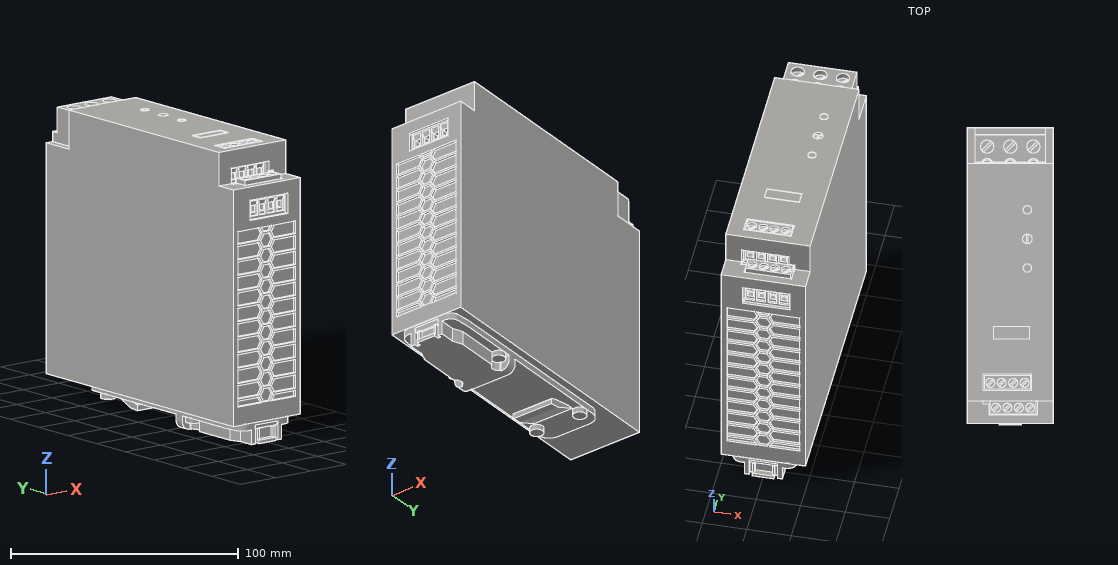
import cadquery as cq
import math

CASE_WIDTH = 38.0
CASE_DEPTH = 130.1
CASE_BOTTOM = 9.8
CASE_TOP = 131.8
FRONT_LEDGE_Z = 116.6
FRONT_STEP_Y = 10.0
REAR_LEDGE_Z = 114.1
REAR_STEP_Y = 114.4

BLOCK_HALF_WIDTH = 15.4
BLOCK_BASE_TOP = 118.8
BLOCK_TOP = 130.4
BLOCK_REAR_Y = 127.0
BLOCK_GAP = 0.4
BLOCK_BEVEL_DEPTH = 0.3
BLOCK_BEVEL_HEIGHT = 1.8
BLOCK_PITCH = 10.1
BLOCK_SCREW_Y = 121.8
BLOCK_SCREW_RADIUS = 2.9
BLOCK_SCREW_DEPTH = 2.8
BLOCK_SCREW_SLOT = 1.0
NOTCH_RADIUS = 2.6
NOTCH_RIM_WIDTH = 0.5
NOTCH_RIM_DEPTH = 1.3
NOTCH_CENTRE_Y = 113.9
NOTCH_DEPTH = 2.6

INDICATOR_X = 7.5
INDICATOR_RADIUS = 1.8
INDICATOR_SPACING = 12.8
TRIMMER_Y = 81.2
TRIMMER_RADIUS = 2.1
TRIMMER_DEPTH = 1.0
LABEL_CENTRE = (0.5, 40.0)
LABEL_SIZE = (15.7, 5.5)
SHALLOW_DEPTH = 0.3

CONNECTOR_SHIFTS = [(1.25, 0.0, 0.0), (-1.25, 11.0, 13.0)]
PLUG_HALF_WIDTH = 10.1
PLUG_GAP = 0.5
PLUG_POLES = 4
PLUG_PITCH = 5.0
HEAD_FRONT_Y = 4.2
HEAD_BACK_Y = 10.3
HEAD_TOP = 118.6
HEAD_RECESS_DEPTH = 4.0
FACE_Y = 1.3
FACE_RECESS_START_Y = -2.4
FACE_RECESS_BACK_Y = 3.4
FACE_BOTTOM = 101.5
FACE_TOP = 110.6
PLUG_SCREW_Y = 7.0
PLUG_SCREW_RADIUS = 2.0
PLUG_SCREW_DEPTH = 1.3
PLUG_SCREW_SLOT = 0.8
ENTRY_HALF_WIDTH = 2.0
ENTRY_BOTTOM = 102.8
ENTRY_TOP = 109.7
ENTRY_DEPTH = 1.0
CLAMP_HALF_WIDTH = 1.3
CLAMP_BOTTOM = 104.1
CLAMP_TOP = 107.3
CLAMP_DEPTH = 2.6
SLOT_DEPTH = 0.7

GRILLE_HALF_WIDTH = 16.3
GRILLE_BOTTOM = 18.2
GRILLE_TOP = 97.4
GRILLE_DEPTH = 1.3
RIB_COUNT = 11
RIB_PITCH = 7.0
RIB_THICKNESS = 1.01
FIRST_RIB_Z = 21.4

PLATE_HALF_WIDTH = 15.0
PLATE_REAR_Y = 107.2
PLATE_BOTTOM = 6.6
PLATE_REAR_RADIUS = 6.2
PLATE_FRONT_RADIUS = 4.6
PLATE_NARROWING = 0.5
PLATE_NARROWING_START_Y = 10.1
PLATE_NARROWING_END_Y = 5.0
FOOT_FRONT_Y = 0.1
PEG_RADIUS = 3.2
PEG_X = PLATE_HALF_WIDTH - PEG_RADIUS
PEG_BOTTOM = 4.1
PEG_YS = (36.9, 96.0)
SLIDER_HALF_WIDTH = 10.5
NOSE_HALF_WIDTH = 8.6
NOSE_TAPER_FRONT_Y = 7.8
NOSE_TAPER_BACK_Y = 12.7
HOOK_FRONT_Y = 40.3
HOOK_REAR_Y = 44.8
HOOK_RADIUS = 4.1
TOOTH_TIP = (47.6, 5.1)
TOOTH_SHOULDER = (46.7, 5.7)
TOOTH_BOTTOM = 1.5
SPRING_HALF_WIDTH = 10.5
SPRING_REAR_Y = 92.4
SPRING_BEND = (82.0, 2.0)
SPRING_TIP_Y = 77.1
SPRING_TIP_BOTTOM = 1.5
SPRING_TIP_TOP = 4.1
SPRING_TIP_SHOULDER = (79.5, 5.0)
WEB_REAR_Y = 89.1
WEB_FRONT_Y = 80.7
WEB_BOTTOM = 4.0
WEB_HALF_WIDTH = 7.9
LATCH_HALF_WIDTH = 6.3
LATCH_TOP = 8.6
LATCH_DEPTH = 2.0
LATCH_ROOF_DEPTH = 1.0
TONGUE_HALF_WIDTH = 4.9
TONGUE_POST_WIDTH = 0.9
TONGUE_BAR_HEIGHT = 1.6
TONGUE_OVERHANG = 0.5
TONGUE_POST_Y = 0.4


def box(x0, x1, y0, y1, z0, z1):
    """Box between two opposite corners."""
    return cq.Workplane("XY").box(x1 - x0, y1 - y0, z1 - z0, centered=False).translate((x0, y0, z0))


def side_profile(points, half_width, centre_x=0.0):
    """Outline of (Y, Z) points extruded along X, symmetric about centre_x."""
    outline = cq.Workplane("YZ").polyline(points).close()
    return outline.extrude(half_width, both=True).translate((centre_x, 0, 0))


def prism(right_side, z0, z1):
    """Upright prism from the right half of an (X, Y) outline, mirrored about X = 0."""
    left_side = [(-x, y) for x, y in reversed(right_side)]
    outline = cq.Workplane("XY", origin=(0, 0, z0)).polyline(right_side + left_side).close()
    return outline.extrude(z1 - z0)


def post(x, y, radius, z0, z1):
    """Vertical cylinder."""
    return cq.Workplane("XY", origin=(x, y, z0)).circle(radius).extrude(z1 - z0)


def screw_hole(x, y, top, radius, depth, slot_width, slot_angle):
    """Round hole with a slotted screw head at its bottom."""
    floor = top - depth
    slot = box(-radius, radius, -slot_width / 2, slot_width / 2, floor - SLOT_DEPTH, floor)
    slot = slot.rotate((0, 0, 0), (0, 0, 1), slot_angle).translate((x, y, 0))
    hole = post(x, y, radius, floor, top)
    return hole.union(slot.intersect(post(x, y, radius, floor - SLOT_DEPTH, floor)))


def make_case():
    """Closed housing with a ledge at the front and a lower ledge at the rear."""
    outline = [
        (0, CASE_BOTTOM), (CASE_DEPTH, CASE_BOTTOM), (CASE_DEPTH, REAR_LEDGE_Z),
        (REAR_STEP_Y, REAR_LEDGE_Z), (REAR_STEP_Y, CASE_TOP), (FRONT_STEP_Y, CASE_TOP),
        (FRONT_STEP_Y, FRONT_LEDGE_Z), (0, FRONT_LEDGE_Z),
    ]
    return side_profile(outline, CASE_WIDTH / 2)


def make_terminal_block():
    """Three-pole block on the rear ledge with screw holes and round front notches."""
    bevel_z = BLOCK_TOP - BLOCK_BEVEL_HEIGHT
    front_y = REAR_STEP_Y + BLOCK_GAP
    outline = [
        (REAR_STEP_Y, REAR_LEDGE_Z), (CASE_DEPTH, REAR_LEDGE_Z), (CASE_DEPTH, BLOCK_BASE_TOP),
        (BLOCK_REAR_Y, BLOCK_BASE_TOP), (BLOCK_REAR_Y, bevel_z),
        (BLOCK_REAR_Y - BLOCK_BEVEL_DEPTH, BLOCK_TOP),
        (front_y + BLOCK_BEVEL_DEPTH, BLOCK_TOP), (front_y, bevel_z),
        (front_y, bevel_z - BLOCK_BEVEL_HEIGHT), (REAR_STEP_Y, bevel_z - BLOCK_BEVEL_HEIGHT),
    ]
    block = side_profile(outline, BLOCK_HALF_WIDTH)
    for index in (-1, 0, 1):
        x = index * BLOCK_PITCH
        block = block.cut(screw_hole(x, BLOCK_SCREW_Y, BLOCK_TOP, BLOCK_SCREW_RADIUS,
                                     BLOCK_SCREW_DEPTH, BLOCK_SCREW_SLOT, 45))
        block = block.cut(post(x, NOTCH_CENTRE_Y, NOTCH_RADIUS,
                               BLOCK_TOP - NOTCH_RIM_DEPTH, BLOCK_TOP))
        block = block.cut(post(x, NOTCH_CENTRE_Y, NOTCH_RADIUS - NOTCH_RIM_WIDTH,
                               BLOCK_TOP - NOTCH_DEPTH, BLOCK_TOP))
    return block


def cut_top_details(body):
    """Two indicators, a slotted trimmer between them and a shallow label field."""
    for y in (TRIMMER_Y - INDICATOR_SPACING, TRIMMER_Y + INDICATOR_SPACING):
        body = body.cut(post(INDICATOR_X, y, INDICATOR_RADIUS, CASE_TOP - SHALLOW_DEPTH, CASE_TOP))
    body = body.cut(screw_hole(INDICATOR_X, TRIMMER_Y, CASE_TOP, TRIMMER_RADIUS,
                               TRIMMER_DEPTH, PLUG_SCREW_SLOT, 90))
    label = cq.Workplane("XY", origin=(*LABEL_CENTRE, CASE_TOP - SHALLOW_DEPTH))
    return body.cut(label.rect(*LABEL_SIZE).extrude(SHALLOW_DEPTH))


def connector_recess():
    """Clearance around the screw head block and around the wire face."""
    half = PLUG_HALF_WIDTH + PLUG_GAP
    head = box(-half, half, HEAD_FRONT_Y - PLUG_GAP, HEAD_BACK_Y + PLUG_GAP,
               HEAD_TOP - HEAD_RECESS_DEPTH, HEAD_TOP + PLUG_GAP)
    face = box(-half, half, FACE_RECESS_START_Y, FACE_RECESS_BACK_Y,
               FACE_BOTTOM, FACE_TOP)
    return head.union(face)


def wire_entry(x):
    """Funnel with a sloping roof that leads to a square clamp hole."""
    back = FACE_Y + ENTRY_DEPTH
    funnel = side_profile([(FACE_Y, ENTRY_BOTTOM), (back, ENTRY_BOTTOM), (back, CLAMP_TOP),
                           (FACE_Y, ENTRY_TOP)], ENTRY_HALF_WIDTH, x)
    clamp = box(x - CLAMP_HALF_WIDTH, x + CLAMP_HALF_WIDTH, back, back + CLAMP_DEPTH,
                CLAMP_BOTTOM, CLAMP_TOP)
    return funnel.union(clamp)


def connector_plug():
    """Screw head block and wire face that stand in the recess."""
    half = PLUG_HALF_WIDTH
    head = box(-half, half, HEAD_FRONT_Y, HEAD_BACK_Y, HEAD_TOP - HEAD_RECESS_DEPTH, HEAD_TOP)
    face = box(-half, half, FACE_Y, FACE_RECESS_BACK_Y, FACE_BOTTOM, FACE_TOP)
    return head.union(face)


def connector_openings():
    """One wire entry and one screw hole for each pole."""
    openings = cq.Workplane("XY")
    for pole in range(PLUG_POLES):
        x = (pole - (PLUG_POLES - 1) / 2) * PLUG_PITCH
        openings = openings.add(wire_entry(x))
        openings = openings.add(screw_hole(x, PLUG_SCREW_Y, HEAD_TOP, PLUG_SCREW_RADIUS,
                                           PLUG_SCREW_DEPTH, PLUG_SCREW_SLOT, 45))
    return openings.combine()


def fit_connectors(body):
    """Cut all recesses first, then add the plugs and open them."""
    for shift in CONNECTOR_SHIFTS:
        body = body.cut(connector_recess().translate(shift))
    for shift in CONNECTOR_SHIFTS:
        body = body.union(connector_plug().translate(shift))
    for shift in CONNECTOR_SHIFTS:
        body = body.cut(connector_openings().translate(shift))
    return body


def hexagon(across_flats, z):
    """Hexagonal prism along Y with corners pointing to +X and -X."""
    diameter = across_flats / math.cos(math.pi / 6)
    plane = cq.Workplane("XZ", origin=(0, GRILLE_DEPTH, z))
    return plane.polygon(6, diameter).extrude(GRILLE_DEPTH)


def grille_openings():
    """Slots between ribs, and a central column of hexagons set apart by thin walls."""
    window = box(-GRILLE_HALF_WIDTH, GRILLE_HALF_WIDTH, 0, GRILLE_DEPTH, GRILLE_BOTTOM, GRILLE_TOP)
    slots = window
    cells = cq.Workplane("XY")
    for index in range(RIB_COUNT + 1):
        z = FIRST_RIB_Z + index * RIB_PITCH
        rib_bottom = z - RIB_THICKNESS / 2
        slots = slots.cut(box(-GRILLE_HALF_WIDTH, GRILLE_HALF_WIDTH, 0, GRILLE_DEPTH,
                              rib_bottom, rib_bottom + RIB_THICKNESS))
        slots = slots.cut(hexagon(RIB_PITCH + RIB_THICKNESS, z))
        cells = cells.add(hexagon(RIB_PITCH - RIB_THICKNESS, z))
    return slots.union(cells.combine().intersect(window))


def make_plate():
    """Foot plate, narrowed slightly toward its rounded front, with round pegs below."""
    front_half_width = PLATE_HALF_WIDTH - PLATE_NARROWING
    right_side = [
        (front_half_width, FOOT_FRONT_Y), (front_half_width, PLATE_NARROWING_END_Y),
        (PLATE_HALF_WIDTH, PLATE_NARROWING_START_Y), (PLATE_HALF_WIDTH, PLATE_REAR_Y),
    ]
    plate = prism(right_side, PLATE_BOTTOM, CASE_BOTTOM)
    plate = plate.edges("|Z and >Y").fillet(PLATE_REAR_RADIUS)
    plate = plate.edges("|Z and <Y").fillet(PLATE_FRONT_RADIUS)
    for y in PEG_YS:
        for x in (-PEG_X, PEG_X):
            plate = plate.union(post(x, y, PEG_RADIUS, PEG_BOTTOM, PLATE_BOTTOM))
    return plate


def make_slider():
    """Sliding latch: tapered nose, round hollows under the pegs, and a wide hook at the rear."""
    slider = prism([
        (NOSE_HALF_WIDTH, FOOT_FRONT_Y), (NOSE_HALF_WIDTH, NOSE_TAPER_FRONT_Y),
        (SLIDER_HALF_WIDTH, NOSE_TAPER_BACK_Y), (SLIDER_HALF_WIDTH, HOOK_REAR_Y),
    ], 0, PLATE_BOTTOM)
    for x in (-PEG_X, PEG_X):
        slider = slider.cut(post(x, PEG_YS[0], PEG_RADIUS, 0, PEG_BOTTOM))
    hook = box(-PLATE_HALF_WIDTH, PLATE_HALF_WIDTH, HOOK_FRONT_Y, HOOK_REAR_Y, 0, PLATE_BOTTOM)
    hook = hook.edges("|Y and <Z").fillet(HOOK_RADIUS)
    tooth = side_profile([(HOOK_REAR_Y, TOOTH_BOTTOM), TOOTH_TIP, TOOTH_SHOULDER,
                          (HOOK_REAR_Y, TOOTH_SHOULDER[1])], SPRING_HALF_WIDTH)
    return slider.union(hook).union(tooth)


def make_spring():
    """Slanted spring tongue under the plate, carried by a narrower web."""
    tongue = side_profile([(SPRING_REAR_Y, PLATE_BOTTOM), SPRING_BEND,
                           (SPRING_TIP_Y, SPRING_TIP_BOTTOM), (SPRING_TIP_Y, SPRING_TIP_TOP),
                           SPRING_TIP_SHOULDER, (WEB_REAR_Y, PLATE_BOTTOM)], SPRING_HALF_WIDTH)
    web = side_profile([(WEB_REAR_Y, PLATE_BOTTOM), (WEB_FRONT_Y, WEB_BOTTOM),
                        (WEB_FRONT_Y, PLATE_BOTTOM)], WEB_HALF_WIDTH)
    return tongue.union(web)


def latch_pocket():
    """Pocket in the slider nose, its roof sloping down behind the front edge."""
    return side_profile([(0, 0), (LATCH_DEPTH, 0), (LATCH_DEPTH, PLATE_BOTTOM),
                         (LATCH_ROOF_DEPTH, PLATE_BOTTOM), (FOOT_FRONT_Y, LATCH_TOP),
                         (0, LATCH_TOP)], LATCH_HALF_WIDTH)


def latch_tongue():
    """Pull bar with two posts that stand in the latch pocket."""
    tongue = box(-TONGUE_HALF_WIDTH, TONGUE_HALF_WIDTH, -TONGUE_OVERHANG, LATCH_DEPTH,
                 0, TONGUE_BAR_HEIGHT)
    for x in (-TONGUE_HALF_WIDTH, TONGUE_HALF_WIDTH - TONGUE_POST_WIDTH):
        tongue = tongue.union(box(x, x + TONGUE_POST_WIDTH, TONGUE_POST_Y, LATCH_DEPTH,
                                  0, PLATE_BOTTOM))
    return tongue


body = make_case().union(make_terminal_block())
body = cut_top_details(body)
body = fit_connectors(body)
body = body.cut(grille_openings())
foot = make_plate().union(make_slider()).union(make_spring())
foot = foot.cut(latch_pocket()).union(latch_tongue())
result = body.union(foot)